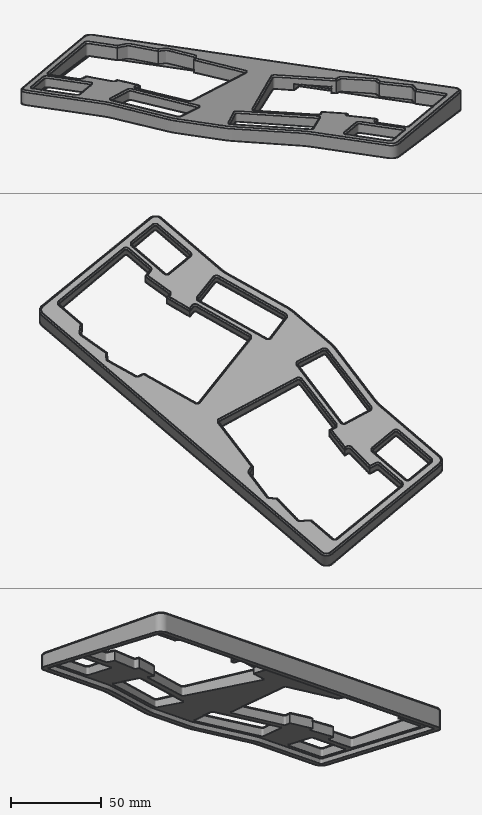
import cadquery as cq
import math

length = 227.0
depth = 102.0
height = 11.5
tilt = 2.0
splay = 12.0
edge_chamfer = 1.0

blank_height = height + 2.3

half_length = length / 2
back_y = depth / 2
front_y = -depth / 2

corner_radius = 4.5
bend_radius = 25.0
nose_x = 16.8
shoulder_x = 60.0
shoulder_y = front_y + (shoulder_x - nose_x) * math.tan(math.radians(splay))

side_wall = 5.5
opening_left = -half_length + side_wall
block_top = 39.0
block_bottom = -13.5
main_opening = [
    (opening_left, block_top),
    (-89.7, block_top),
    (-85.4, 44.3),
    (-66.5, 42.5),
    (-62.9, 45.6),
    (-44.0, 41.5),
    (-43.0, 37.5),
    (-8.2, 30.2),
    (-19.0, -21.8),
    (-55.5, -14.3),
    (-54.5, -9.8),
    (-69.7, -6.8),
    (-70.1, -9.8),
    (-87.8, -8.2),
    (-89.0, block_bottom),
    (opening_left, block_bottom),
]
corner_key = [
    (opening_left, -17.5),
    (-80.4, -17.5),
    (-80.4, -36.0),
    (opening_left, -36.0),
]
thumb_key = [
    (-57.0, -18.2),
    (-11.1, -28.0),
    (-15.2, -45.6),
    (-60.5, -36.0),
]
opening_radius = 1.1

rim_width = 3.5
recess_depth = 3.0

pocket_left = 19.5
pocket_right = 40.2
pocket_front = 27.2
pocket_back = 43.1
pocket_top = 6.5


def make_body():
    """Full-height slab with rounded corners and softly bent front shoulders."""
    slab = (
        cq.Workplane("XY")
        .moveTo(-half_length, back_y)
        .lineTo(half_length, back_y)
        .lineTo(half_length, shoulder_y)
        .lineTo(shoulder_x, shoulder_y)
        .lineTo(nose_x, front_y)
        .lineTo(-nose_x, front_y)
        .lineTo(-shoulder_x, shoulder_y)
        .lineTo(-half_length, shoulder_y)
        .close()
        .extrude(blank_height)
    )
    slab = slab.edges("|Z and (<X or >X)").fillet(corner_radius)
    for x, y in ((shoulder_x, shoulder_y), (nose_x, front_y)):
        for side in (-1, 1):
            bend = cq.selectors.NearestToPointSelector((side * x, y, height / 2))
            slab = slab.edges("|Z").edges(bend).fillet(bend_radius)
    return slab


def make_recess(body):
    """Shallow hollow under the whole case, inset from its outline."""
    outline = body.faces("<Z").wires().toPending()
    return outline.offset2D(-rim_width).extrude(recess_depth, combine=False)


def make_opening(corners):
    """Through cutter, rounded where the opening bulges out and sharp where material juts in."""
    cutter = cq.Workplane("XY").polyline(corners).close().extrude(blank_height)
    for i, (x, y) in enumerate(corners):
        last_x, last_y = corners[i - 1]
        next_x, next_y = corners[(i + 1) % len(corners)]
        turn = (x - last_x) * (next_y - y) - (y - last_y) * (next_x - x)
        if turn < 0:
            corner = cq.selectors.NearestToPointSelector((x, y, height / 2))
            cutter = cutter.edges("|Z").edges(corner).fillet(opening_radius)
    return cutter


def make_top_wedge():
    """Everything above the tilted top face, whose chamfered back edge reaches the full height."""
    slope = math.tan(math.radians(tilt))
    back_z = height + edge_chamfer * slope
    return (
        cq.Workplane("YZ")
        .moveTo(back_y, back_z)
        .lineTo(front_y, back_z - depth * slope)
        .lineTo(front_y, blank_height)
        .lineTo(back_y, blank_height)
        .close()
        .extrude(half_length, both=True)
    )


def make_pocket():
    """Connector pocket, open at the underside and into the right-hand opening."""
    return (
        cq.Workplane("XY")
        .box(pocket_right - pocket_left, pocket_back - pocket_front, pocket_top, centered=False)
        .translate((pocket_left, pocket_front, 0))
    )


body = make_body()
recess = make_recess(body)

for outline in (main_opening, corner_key, thumb_key):
    opening = make_opening(outline)
    body = body.cut(opening).cut(opening.mirror("YZ"))

body = body.cut(make_top_wedge())
top_face = body.faces(cq.selectors.DirectionMinMaxSelector(cq.Vector(0, 0, 1)))
body = top_face.edges().chamfer(edge_chamfer)

result = body.cut(recess).cut(make_pocket())